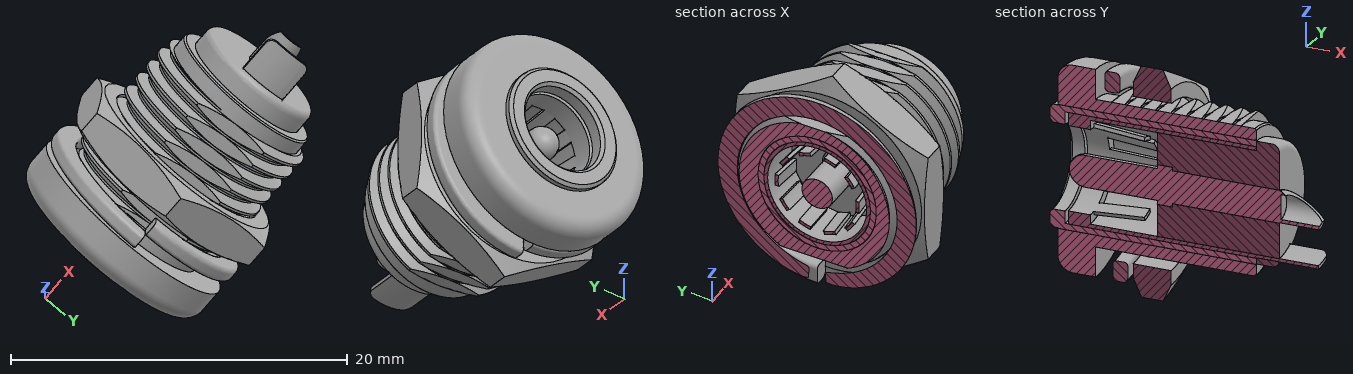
import cadquery as cq
import math


SLEEVE_RADIUS = 4.0
SLEEVE_CHAMFER = 0.2
MOUTH_RADIUS = 2.8
LIP_LENGTH = 1.0

FLANGE_FRONT = 0.5
FLANGE_BACK = 3.0
FLANGE_RADIUS = 6.75
FLANGE_FILLET = 1.0
BARREL_RADIUS = 4.8
BARREL_END = 13.5
BARREL_CHAMFER = 0.1
THREAD_RADIUS = 5.4
THREAD_PITCH = 1.0
THREAD_FLANK_ANGLE = 30.0
THREAD_CREST = 0.17
THREAD_CLEARANCE = 0.015
RIDGE_OVERLAP = 0.1
THREAD_START = 4.0
THREAD_END = 12.5
THREAD_PHASE = 0.22
FLAT_HALF_WIDTH = BARREL_RADIUS

WASHER_RADIUS = 6.765
WASHER_INNER_RADIUS = THREAD_RADIUS + THREAD_CLEARANCE
WASHER_THICKNESS = 1.0
WASHER_CORNER = 0.25
WASHER_BACK_CORNER = 0.35
WASHER_RISE = 1.03
WASHER_START = 3.57

NUT_FRONT = 5.43
NUT_THICKNESS = 2.5
NUT_ACROSS_FLATS = 13.0
NUT_FACE_RADIUS = 6.35
NUT_CHAMFER_ANGLE = 25.0

CONTACT_RADIUS = 3.6
CONTACT_TUBE_INNER = 3.35
CONTACT_FRONT = 1.2
CONTACT_RING_BACK = 2.65
CONTACT_BORE_RADIUS = 2.75
FINGER_COUNT = 10
FINGER_WIDTH = 0.83
FINGER_TIP_X = 6.0
FINGER_TIP_RADIUS = 2.49
FINGER_THICKNESS = 0.25
TAB_END = 17.55
TAB_HALF_WIDTH = 1.52
TAB_CORNER = 0.5

INSULATOR_FRONT = 7.0
INSULATOR_BACK = 15.0
INSULATOR_FILLET = 0.5

PIN_RADIUS = 1.05
PIN_TIP_X = 1.25
PIN_END = 17.6
SHOULDER_RADIUS = 1.27
SHOULDER_LENGTH = 1.0
CUP_RADIUS = 0.79
CUP_DEPTH = 2.5
CUP_CUT_START = 15.07
CUP_CUT_END_Z = -0.69


def cylinder(radius, x_start, x_end):
    return cq.Workplane("YZ", origin=(x_start, 0, 0)).circle(radius).extrude(x_end - x_start)


def tube(outer, inner, x_start, x_end):
    return cylinder(outer, x_start, x_end).cut(cylinder(inner, x_start, x_end))


def turned(profile):
    """Revolve a closed (x, radius) profile about the X axis."""
    return profile.close().revolve(360, (0, 0, 0), (1, 0, 0))


def helical_sweep(profile, pitch, height, radius, left_handed=False):
    """Sweep a profile of the XZ plane along a helix about Z, then turn Z to X and X to Y."""
    helix = cq.Workplane(cq.Wire.makeHelix(pitch, height, radius, lefthand=left_handed))
    swept = profile.sweep(helix, isFrenet=True)
    return swept.rotate((0, 0, 0), (1, 1, 1), 120)


def thread_ridge():
    """The V thread outside the barrel, cut square at both ends and flat above and below."""
    inner = BARREL_RADIUS - RIDGE_OVERLAP
    crest_half = THREAD_CREST / 2
    base_half = crest_half + (THREAD_RADIUS - inner) * math.tan(math.radians(THREAD_FLANK_ANGLE))
    profile = cq.Workplane("XZ").polyline([
        (inner, -base_half),
        (THREAD_RADIUS, -crest_half),
        (THREAD_RADIUS, crest_half),
        (inner, base_half),
    ]).close()
    sweep_start = math.floor(THREAD_START) - 2 * THREAD_PITCH + THREAD_PHASE
    sweep_length = math.ceil(THREAD_END - sweep_start) + THREAD_PITCH / 2
    ridge = helical_sweep(profile, THREAD_PITCH, sweep_length, inner)
    ridge = ridge.translate((sweep_start, 0, 0))
    length = THREAD_END - THREAD_START
    flats = cq.Workplane("XY").box(length, 4 * THREAD_RADIUS, 2 * FLAT_HALF_WIDTH)
    return ridge.intersect(flats.translate((THREAD_START + length / 2, 0, 0)))


def make_shell():
    flange = cylinder(FLANGE_RADIUS, FLANGE_FRONT, FLANGE_BACK).faces("<X").edges().fillet(FLANGE_FILLET)
    barrel = cylinder(BARREL_RADIUS, FLANGE_BACK, BARREL_END).faces(">X").edges().chamfer(BARREL_CHAMFER)
    bore = cylinder(SLEEVE_RADIUS, FLANGE_FRONT, BARREL_END)
    return flange.union(barrel).union(thread_ridge()).cut(bore)


def make_washer():
    """One left-handed turn of a rounded rectangular wire, split on the -Z side."""
    width = WASHER_RADIUS - WASHER_INNER_RADIUS
    middle = (WASHER_RADIUS + WASHER_INNER_RADIUS) / 2
    section = (
        cq.Sketch()
        .rect(width, WASHER_THICKNESS)
        .vertices(">X and >Y").fillet(WASHER_BACK_CORNER)
        .reset()
        .vertices("<X or <Y").fillet(WASHER_CORNER)
    )
    profile = cq.Workplane("XZ", origin=(middle, 0, 0)).placeSketch(section)
    coil = helical_sweep(profile, WASHER_RISE, WASHER_RISE, middle, left_handed=True)
    return coil.rotate((0, 0, 0), (1, 0, 0), -90).translate((WASHER_START, 0, 0))


def make_nut():
    corner_radius = NUT_ACROSS_FLATS / 2 / math.cos(math.radians(30))
    chamfer_depth = (corner_radius - NUT_FACE_RADIUS) * math.tan(math.radians(NUT_CHAMFER_ANGLE))
    back = NUT_FRONT + NUT_THICKNESS
    hexagon = (
        cq.Workplane("YZ", origin=(NUT_FRONT, 0, 0))
        .polygon(6, 2 * corner_radius)
        .extrude(NUT_THICKNESS)
        .rotate((0, 0, 0), (1, 0, 0), 30)
    )
    envelope = turned(cq.Workplane("XY").polyline([
        (NUT_FRONT, 0),
        (NUT_FRONT, NUT_FACE_RADIUS),
        (NUT_FRONT + chamfer_depth, corner_radius),
        (back - chamfer_depth, corner_radius),
        (back, NUT_FACE_RADIUS),
        (back, 0),
    ]))
    return hexagon.intersect(envelope).cut(cylinder(THREAD_RADIUS + THREAD_CLEARANCE, NUT_FRONT, back))


def make_sleeve():
    """Tube with a chamfered lip at its mouth; the cavity behind the lip holds the contact."""
    return turned(cq.Workplane("XY").polyline([
        (0, MOUTH_RADIUS + SLEEVE_CHAMFER),
        (0, SLEEVE_RADIUS - SLEEVE_CHAMFER),
        (SLEEVE_CHAMFER, SLEEVE_RADIUS),
        (BARREL_END, SLEEVE_RADIUS),
        (BARREL_END, CONTACT_RADIUS),
        (LIP_LENGTH, CONTACT_RADIUS),
        (LIP_LENGTH, MOUTH_RADIUS),
        (SLEEVE_CHAMFER, MOUTH_RADIUS),
    ]))


def contact_fingers():
    """Fingers that lean inward from the contact ring, evenly spaced about the axis."""
    cone = turned(cq.Workplane("XY").polyline([
        (CONTACT_RING_BACK, CONTACT_BORE_RADIUS),
        (FINGER_TIP_X, FINGER_TIP_RADIUS),
        (FINGER_TIP_X, FINGER_TIP_RADIUS + FINGER_THICKNESS),
        (CONTACT_RING_BACK, CONTACT_BORE_RADIUS + FINGER_THICKNESS),
    ]))
    length = FINGER_TIP_X - CONTACT_RING_BACK
    blade = cq.Workplane("XY").box(length, CONTACT_RADIUS, FINGER_WIDTH, centered=(False, False, True))
    finger = cone.intersect(blade.translate((CONTACT_RING_BACK, 0, 0)))
    return [
        finger.rotate((0, 0, 0), (1, 0, 0), index * 360 / FINGER_COUNT)
        for index in range(FINGER_COUNT)
    ]


def solder_tab():
    """Strip of the contact tube on the -Z side that runs out through the insulator flange."""
    length = TAB_END - BARREL_END
    outline = (
        cq.Workplane("XY")
        .box(length, 2 * TAB_HALF_WIDTH, CONTACT_RADIUS, centered=(False, True, False))
        .faces(">X").edges("|Z").fillet(TAB_CORNER)
        .translate((BARREL_END, 0, -CONTACT_RADIUS))
    )
    return tube(CONTACT_RADIUS, CONTACT_TUBE_INNER, BARREL_END, TAB_END).intersect(outline)


def make_contact():
    contact = tube(CONTACT_RADIUS, CONTACT_BORE_RADIUS, CONTACT_FRONT, CONTACT_RING_BACK)
    contact = contact.union(tube(CONTACT_RADIUS, CONTACT_TUBE_INNER, CONTACT_RING_BACK, BARREL_END))
    for finger in contact_fingers():
        contact = contact.union(finger)
    return contact.union(solder_tab())


def make_insulator():
    plug = cylinder(CONTACT_TUBE_INNER, INSULATOR_FRONT, BARREL_END)
    flange = cylinder(SLEEVE_RADIUS, BARREL_END, INSULATOR_BACK).faces(">X").edges().fillet(INSULATOR_FILLET)
    return (
        plug.union(flange)
        .cut(solder_tab())
        .cut(cylinder(PIN_RADIUS, INSULATOR_FRONT, INSULATOR_BACK))
        .cut(cylinder(SHOULDER_RADIUS, INSULATOR_FRONT, INSULATOR_FRONT + SHOULDER_LENGTH))
    )


def make_pin():
    """Round-nosed pin; the rear is a cup cut off at a slant on its upper side."""
    rod = cylinder(PIN_RADIUS, PIN_TIP_X + PIN_RADIUS, PIN_END)
    nose = cq.Workplane("XY").sphere(PIN_RADIUS).translate((PIN_TIP_X + PIN_RADIUS, 0, 0))
    shoulder = cylinder(SHOULDER_RADIUS, INSULATOR_FRONT, INSULATOR_FRONT + SHOULDER_LENGTH)
    cup = cylinder(CUP_RADIUS, PIN_END - CUP_DEPTH, PIN_END)
    slant = (
        cq.Workplane("XZ")
        .polyline([(CUP_CUT_START, PIN_RADIUS), (PIN_END, PIN_RADIUS), (PIN_END, CUP_CUT_END_Z)])
        .close()
        .extrude(PIN_RADIUS, both=True)
    )
    return rod.union(nose).union(shoulder).cut(cup).cut(slant)


shell = make_shell()
washer = make_washer()
nut = make_nut()
sleeve = make_sleeve()
contact = make_contact()
insulator = make_insulator()
pin = make_pin()

result = cq.Compound.makeCompound([
    shell.val(),
    washer.val(),
    nut.val(),
    sleeve.val(),
    contact.val(),
    insulator.val(),
    pin.val(),
])